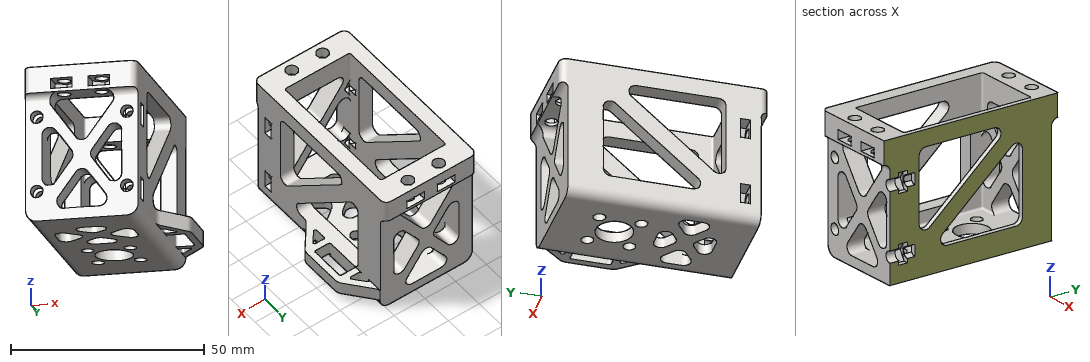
import cadquery as cq
import math

WIDTH = 30.0
LENGTH = 52.0
HEIGHT = 41.0
BOTTOM_EDGE_RADIUS = 3.0
FLOOR_THICKNESS = 3.0

CAVITY_WIDTH = 21.2
CAVITY_LENGTH = 40.9
CAVITY_FILLET = 0.6

FLANGE_OVERHANG = 2.0
FLANGE_HEIGHT = 7.0
FLANGE_LENGTH = LENGTH + 2 * FLANGE_OVERHANG
FLANGE_BOTTOM = HEIGHT - FLANGE_HEIGHT

WINDOW_RADIUS = 2.0
X_STRUT_WIDTH = 3.0
END_WINDOW_CENTRE_Z = 17.25
END_STRUT_SLOPE = 1.36
FLOOR_WINDOW_CENTRE_Y = -9.75
FLOOR_WINDOW_LENGTH = 15.7
FLOOR_STRUT_SLOPE = 0.75
SIDE_WINDOW_LENGTH = 33.0
SIDE_WINDOW_BOTTOM = 7.0
SIDE_WINDOW_TOP = HEIGHT - 5.0
SIDE_TRIANGLE_LENGTH = 29.5
SIDE_TRIANGLE_HEIGHT = 25.4

BEARING_CENTRE_Y = 9.25
BEARING_DIAMETER = 10.0
BEARING_SCREW_CIRCLE = 16.0
SCREW_DIAMETER = 3.3

NUT_WIDTH = 5.7
NUT_THICKNESS = 2.7
FLANGE_HOLE_DIAMETER = 3.5
FLANGE_HOLE_X = 5.0
FLANGE_HOLE_Y = 24.7
FLANGE_NUT_Z = 34.9
END_HOLE_X = 12.0
END_HOLE_HEIGHTS = (8.0, 28.0)
END_NUT_X = 12.3
END_NUT_DEPTH = 2.9
END_HOLE_DEPTH = 8.0

LUG_REACH = 7.0
LUG_ROOT_DEPTH = 1.0
LUG_BOTTOM = 3.0
LUG_THICKNESS = 4.0
LUG_CENTRE_Y = 10.0
LUG_ROOT_LENGTH = 31.0
LUG_TIP_LENGTH = 14.0
LUG_OUTER_RADIUS = 3.0
LUG_RIB = 2.0
LUG_SLOT_LENGTH = 11.0
LUG_POCKET_RADIUS = 0.5


def rounded_prism(plane, points, radius, depth):
    """Prism on a polygon, centred on its plane, with its corner edges rounded."""
    prism = cq.Workplane(plane).polyline(points).close().extrude(depth / 2, both=True)
    normal = "XYZ".replace(plane[0], "").replace(plane[1], "")
    return prism.edges("|" + normal).fillet(radius)


def x_braced_windows(plane, half_width, bottom, top, centre, slope, depth):
    """Four triangles left open by two crossed struts in a rectangle centred on the local Y axis."""
    angle = math.atan(slope)
    rise = X_STRUT_WIDTH / 2 / math.cos(angle)
    run = X_STRUT_WIDTH / 2 / math.sin(angle)
    side_half = slope * (half_width - run)
    triangles = []
    for edge, direction in ((bottom, -1), (top, 1)):
        apex = centre + direction * rise
        base_half = abs(edge - apex) / slope
        triangles.append([(0, apex), (base_half, edge), (-base_half, edge)])
    for direction in (-1, 1):
        base = direction * half_width
        triangles.append([(direction * run, centre), (base, centre + side_half), (base, centre - side_half)])
    windows = cq.Workplane(plane)
    for triangle in triangles:
        windows = windows.add(rounded_prism(plane, triangle, WINDOW_RADIUS, depth))
    return windows.combine()


def make_body():
    flange_outline = (
        cq.Workplane("XY")
        .box(WIDTH, FLANGE_LENGTH, HEIGHT, centered=(True, True, False))
        .edges("|Z")
        .fillet(FLANGE_OVERHANG)
    )
    block = cq.Workplane("XY").box(WIDTH, LENGTH, HEIGHT, centered=(True, True, False))
    block = block.edges("|Y and <Z").fillet(BOTTOM_EDGE_RADIUS)
    flange = flange_outline.translate((0, 0, FLANGE_BOTTOM)).intersect(flange_outline)
    body = block.union(flange)
    for end in (-1, 1):
        body = body.union(flange_fillet(end).intersect(flange_outline))
    return body


def flange_fillet(end):
    """Concave fillet filling the corner between an end wall and the flange underside."""
    wall_y = end * LENGTH / 2
    tip_y = end * FLANGE_LENGTH / 2
    fillet_bottom = FLANGE_BOTTOM - FLANGE_OVERHANG
    bulge = FLANGE_OVERHANG * math.sqrt(0.5)
    return (
        cq.Workplane("YZ")
        .moveTo(wall_y, fillet_bottom)
        .threePointArc((tip_y - end * bulge, fillet_bottom + bulge), (tip_y, FLANGE_BOTTOM))
        .lineTo(wall_y, FLANGE_BOTTOM)
        .close()
        .extrude(WIDTH / 2, both=True)
    )


def make_cavity():
    return (
        cq.Workplane("XY", origin=(0, 0, FLOOR_THICKNESS))
        .rect(CAVITY_WIDTH, CAVITY_LENGTH)
        .extrude(HEIGHT - FLOOR_THICKNESS)
        .edges("|Z or <Z")
        .fillet(CAVITY_FILLET)
    )


def make_end_windows():
    return x_braced_windows(
        "XZ",
        CAVITY_WIDTH / 2,
        FLOOR_THICKNESS,
        FLANGE_BOTTOM,
        END_WINDOW_CENTRE_Z,
        END_STRUT_SLOPE,
        FLANGE_LENGTH,
    )


def make_floor_windows():
    half_length = FLOOR_WINDOW_LENGTH / 2
    return x_braced_windows(
        "XY",
        CAVITY_WIDTH / 2,
        FLOOR_WINDOW_CENTRE_Y - half_length,
        FLOOR_WINDOW_CENTRE_Y + half_length,
        FLOOR_WINDOW_CENTRE_Y,
        FLOOR_STRUT_SLOPE,
        2 * (FLOOR_THICKNESS + CAVITY_FILLET),
    )


def make_side_windows():
    """Two right triangles separated by a diagonal strut, through both side walls."""
    half_length = SIDE_WINDOW_LENGTH / 2
    lower = [
        (half_length, SIDE_WINDOW_BOTTOM),
        (half_length, SIDE_WINDOW_BOTTOM + SIDE_TRIANGLE_HEIGHT),
        (half_length - SIDE_TRIANGLE_LENGTH, SIDE_WINDOW_BOTTOM),
    ]
    upper = [
        (-half_length, SIDE_WINDOW_TOP),
        (-half_length, SIDE_WINDOW_TOP - SIDE_TRIANGLE_HEIGHT),
        (SIDE_TRIANGLE_LENGTH - half_length, SIDE_WINDOW_TOP),
    ]
    lower_prism = rounded_prism("YZ", lower, WINDOW_RADIUS, WIDTH)
    return lower_prism.union(rounded_prism("YZ", upper, WINDOW_RADIUS, WIDTH))


def make_floor_holes():
    bearing = cq.Workplane("XY", origin=(0, BEARING_CENTRE_Y, 0))
    screw_pitch = BEARING_SCREW_CIRCLE * math.sqrt(0.5)
    screws = bearing.rect(screw_pitch, screw_pitch, forConstruction=True).vertices()
    screw_holes = screws.circle(SCREW_DIAMETER / 2).extrude(FLOOR_THICKNESS)
    return bearing.circle(BEARING_DIAMETER / 2).extrude(FLOOR_THICKNESS).union(screw_holes)


def nut_slot(plane, entry_depth):
    """Slot for a hexagon nut centred on the plane origin, open towards local -Y."""
    half_width = NUT_WIDTH / 2
    point_reach = NUT_WIDTH / math.sqrt(3)
    shoulder = point_reach / 2
    outline = [
        (-half_width, -entry_depth),
        (half_width, -entry_depth),
        (half_width, shoulder),
        (0, point_reach),
        (-half_width, shoulder),
    ]
    return cq.Workplane(plane).polyline(outline).close().extrude(NUT_THICKNESS)


def flange_nut_trap(x, end):
    """Vertical screw hole through the flange with a nut slot entering from the end face."""
    y = end * FLANGE_HOLE_Y
    hole = (
        cq.Workplane("XY", origin=(x, y, FLANGE_BOTTOM - FLANGE_OVERHANG))
        .circle(FLANGE_HOLE_DIAMETER / 2)
        .extrude(FLANGE_HEIGHT + FLANGE_OVERHANG)
    )
    plane = cq.Plane(origin=(x, y, FLANGE_NUT_Z), xDir=(-end, 0, 0), normal=(0, 0, 1))
    return hole.union(nut_slot(plane, FLANGE_LENGTH / 2 - FLANGE_HOLE_Y))


def end_nut_trap(side, z):
    """Blind screw hole in the -Y end face, crossed by a nut slot that stops short of the end windows."""
    face_y = -LENGTH / 2
    hole = (
        cq.Workplane("XZ", origin=(side * END_HOLE_X, face_y + END_HOLE_DEPTH, z))
        .circle(SCREW_DIAMETER / 2)
        .extrude(END_HOLE_DEPTH)
    )
    nut_centre = (side * END_NUT_X, face_y + END_NUT_DEPTH, z)
    plane = cq.Plane(origin=nut_centre, xDir=(0, 0, -side), normal=(0, 1, 0))
    return hole.union(nut_slot(plane, WIDTH / 2 - END_NUT_X))


def make_lug():
    """Flat trapezoidal loop on the +X wall with a central slot and two triangular pockets.

    Its root is sunk into the wall and runs past the trapezoid to carry the fillets at the wall.
    """
    wall_x = WIDTH / 2
    root_x = wall_x - LUG_ROOT_DEPTH
    tip_x = wall_x + LUG_REACH
    root_half = LUG_ROOT_LENGTH / 2
    tip_half = LUG_TIP_LENGTH / 2
    slot_half = LUG_SLOT_LENGTH / 2
    slope = (root_half - tip_half) / LUG_REACH
    strut_rise = LUG_RIB * math.hypot(1, slope)
    pocket_base = slot_half + LUG_RIB
    pocket_apex = root_half - strut_rise
    pocket_tip_x = wall_x + (pocket_apex - pocket_base) / slope
    centre = (0, LUG_CENTRE_Y, LUG_BOTTOM + LUG_THICKNESS / 2)

    outline = [
        (root_x, -root_half - LUG_OUTER_RADIUS),
        (wall_x, -root_half - LUG_OUTER_RADIUS),
        (wall_x, -root_half),
        (tip_x, -tip_half),
        (tip_x, tip_half),
        (wall_x, root_half),
        (wall_x, root_half + LUG_OUTER_RADIUS),
        (root_x, root_half + LUG_OUTER_RADIUS),
    ]
    lug = cq.Workplane("XY").polyline(outline).close().extrude(LUG_THICKNESS / 2, both=True)
    mid_root_x = wall_x - LUG_ROOT_DEPTH / 2
    bend_y = root_half + LUG_OUTER_RADIUS / 2
    bends = cq.selectors.BoxSelector(
        (mid_root_x, -bend_y, -LUG_THICKNESS),
        (tip_x + LUG_REACH, bend_y, LUG_THICKNESS),
    )
    lug = lug.edges("|Z").edges(bends).fillet(LUG_OUTER_RADIUS)
    slot = [
        (wall_x, -slot_half),
        (tip_x - LUG_RIB, -slot_half),
        (tip_x - LUG_RIB, slot_half),
        (wall_x, slot_half),
    ]
    lug = lug.cut(rounded_prism("XY", slot, LUG_POCKET_RADIUS, LUG_THICKNESS))
    for end in (-1, 1):
        pocket = [(wall_x, end * pocket_base), (pocket_tip_x, end * pocket_base), (wall_x, end * pocket_apex)]
        lug = lug.cut(rounded_prism("XY", pocket, LUG_POCKET_RADIUS, LUG_THICKNESS))
    length_limit = cq.Workplane("XY").box(2 * tip_x, LENGTH, 2 * HEIGHT)
    return lug.translate(centre).intersect(length_limit)


part = make_body().cut(make_cavity())
for windows in (make_end_windows(), make_floor_windows(), make_side_windows()):
    part = part.cut(windows)
part = part.cut(make_floor_holes())
for direction in (-1, 1):
    for hole_x in (-FLANGE_HOLE_X, FLANGE_HOLE_X):
        part = part.cut(flange_nut_trap(hole_x, direction))
    for hole_z in END_HOLE_HEIGHTS:
        part = part.cut(end_nut_trap(direction, hole_z))
result = part.union(make_lug())